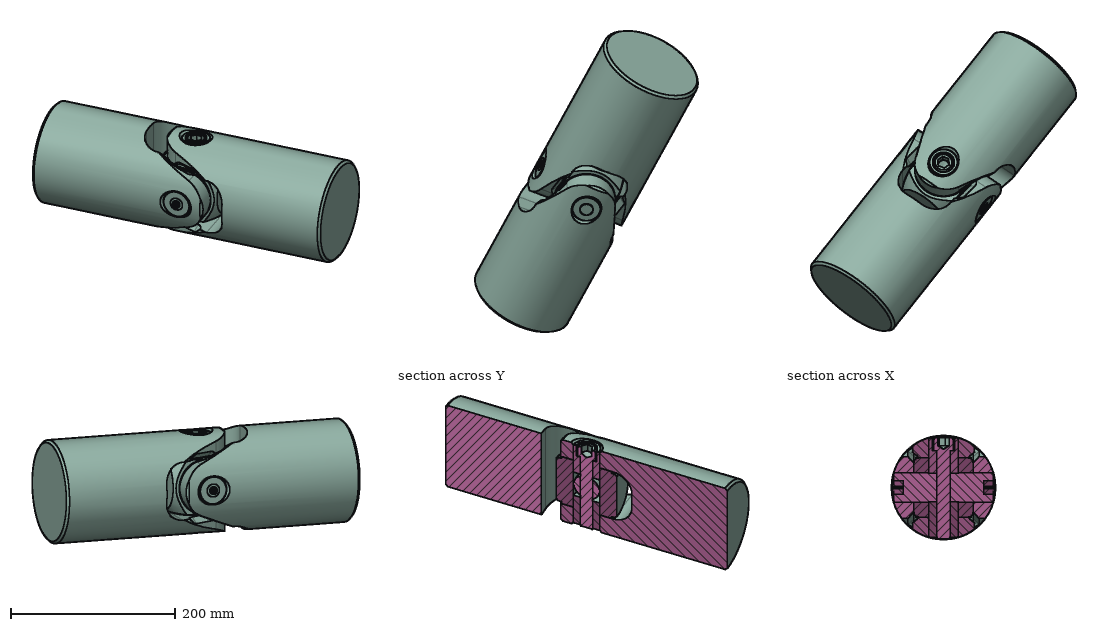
import cadquery as cq
import math

joint_length = 381.0
body_radius = 63.45
end_chamfer = 3.0

tip_radius = 35.0
flank_angle = math.radians(22.5)
slot_half_width = 36.0
slot_depth = 61.0
slot_corner_radius = 25.0
outline_clearance = 4.0
edge_bevel = 7.2
bevel_angle = 45.0
bevel_start = 7.0
bevel_end = 16.0
bevel_offset = 4.5
bevel_overlap = 1.5

pin_radius = 17.5
pin_chamfer = 3.0
pin_half_length = 61.0
pin_end_chamfer = 0.8

block_half_length = 41.0
block_half_width = 34.0
block_end_radius = 31.2

screw_radius = 8.0
head_radius = 12.2
head_height = 16.0
head_chamfer = 2.0
counterbore_radius = 13.5
socket_corners = 6
socket_flats = 13.5
socket_depth = 10.0
socket_point = 4.2
socket_turn = 15.0
screw_end_height = 1.5

fitting_radius = 8.0
fitting_depth = 11.5
nose_radius = 4.5
nose_height = 1.5
mouth_radius = 2.5
mouth_depth = 1.5
grease_radius = 1.0

tangent_x = tip_radius * math.sin(flank_angle)
tangent_z = tip_radius * math.cos(flank_angle)


def flank_height(x):
    """Half height of the arm at position x along a flank."""
    return tangent_z + (tangent_x - x) * math.tan(flank_angle)


def rod(radius, start, end):
    """Cylinder on the Z axis between two heights."""
    return cq.Workplane("XY").workplane(offset=start).circle(radius).extrude(end - start)


def z_to_y(shape):
    """Lay a Z-axis shape down so that its top points to -Y."""
    return shape.rotate((0, 0, 0), (1, 0, 0), 90)


def fork_blank():
    """Round bar from the shaft end to the fork tips, chamfered at both ends."""
    shaft_end = -joint_length / 2
    bar = cq.Workplane("YZ").workplane(offset=shaft_end).circle(body_radius)
    bar = bar.extrude(tip_radius - shaft_end)
    bar = z_to_y(bar)
    return bar.faces("<X or >X").chamfer(end_chamfer)


def arm_outline():
    """Side shape of the fork: full-height shaft, tapered flanks and a round tip."""
    root_z = flank_height(-slot_depth)
    clear_z = body_radius + outline_clearance
    clear_x = -joint_length / 2 - outline_clearance
    outline = (
        cq.Workplane("XZ")
        .moveTo(clear_x, -clear_z)
        .lineTo(-slot_depth, -clear_z)
        .lineTo(-slot_depth, -root_z)
        .lineTo(tangent_x, -tangent_z)
        .threePointArc((tip_radius, 0), (tangent_x, tangent_z))
        .lineTo(-slot_depth, root_z)
        .lineTo(-slot_depth, clear_z)
        .lineTo(clear_x, clear_z)
        .close()
    )
    return outline.extrude(clear_z, both=True)


def arm_slot():
    """Slot between the arms, with rounded corners at its floor."""
    length = slot_depth + tip_radius
    slot = cq.Workplane("XY").box(length, 2 * slot_half_width, 2 * (body_radius + outline_clearance))
    slot = slot.edges("|Z and <X").fillet(slot_corner_radius)
    return slot.translate((tip_radius - length / 2, 0, 0))


def pin_hole():
    """Hole along Y through both arms, countersunk at each outer end."""
    hole = rod(pin_radius, -body_radius, body_radius)
    cone = cq.Solid.makeCone(pin_radius, pin_radius + pin_chamfer, pin_chamfer)
    sink = cq.Workplane(cone)
    sink = sink.translate((0, 0, body_radius - pin_chamfer))
    hole = hole.union(sink).union(sink.mirror("XY"))
    return z_to_y(hole)


def flank_bevel():
    """Cutter for one inner flank edge (+Y arm, +Z flank): a 45 degree wedge with conical ends.

    Its centre line runs outside the flank, so the cut depth reaches zero at the bevel height.
    """
    run = (bevel_start + bevel_end) / math.cos(flank_angle)
    middle_x = (bevel_start - bevel_end) / 2
    base_half_width = edge_bevel + bevel_offset + bevel_overlap
    flank = cq.Plane(
        origin=(middle_x, slot_half_width - bevel_overlap, flank_height(middle_x)),
        xDir=(-math.cos(flank_angle), 0, math.sin(flank_angle)),
        normal=(0, 1, 0),
    )
    return (
        cq.Workplane(flank)
        .center(0, bevel_offset)
        .slot2D(run + 2 * base_half_width, 2 * base_half_width)
        .extrude(edge_bevel + 2 * bevel_overlap, taper=bevel_angle)
    )


def fork():
    """Fork with its shaft towards -X and its arms at +Y and -Y."""
    body = fork_blank().intersect(arm_outline()).cut(arm_slot()).cut(pin_hole())
    bevel = flank_bevel()
    for cutter in (bevel, bevel.mirror("XY")):
        body = body.cut(cutter).cut(cutter.mirror("XZ"))
    return body


def centre_block():
    """Square block with coned ends, a round boss towards each arm and two crossing holes."""
    width = 2 * block_half_width
    block = cq.Workplane("XY").box(2 * block_half_length, width, width)
    cone_radius = block_end_radius + block_half_length
    cones = (
        cq.Workplane("XY")
        .polyline([
            (-block_half_length, 0),
            (-block_half_length, block_end_radius),
            (0, cone_radius),
            (block_half_length, block_end_radius),
            (block_half_length, 0),
        ])
        .close()
        .revolve(360, (0, 0, 0), (1, 0, 0))
    )
    block = block.intersect(cones)
    bosses = rod(block_half_width, -slot_half_width, slot_half_width)
    bosses = bosses.intersect(cq.Workplane("XY").box(width, width, 2 * slot_half_width))
    hole = rod(pin_radius, -slot_half_width, slot_half_width)
    block = block.union(bosses).union(z_to_y(bosses))
    return block.cut(hole).cut(z_to_y(hole))


def fitting():
    """Grease fitting on the Z axis, seated in the upper end of a pin."""
    nose_top = pin_half_length + nose_height
    seat = pin_half_length - fitting_depth
    body = rod(fitting_radius, seat, pin_half_length)
    body = body.union(rod(nose_radius, pin_half_length, nose_top))
    mouth = cq.Solid.makeCone(
        grease_radius, mouth_radius, mouth_depth, pnt=cq.Vector(0, 0, nose_top - mouth_depth)
    )
    return body.cut(rod(grease_radius, seat, nose_top)).cut(cq.Workplane(mouth))


def long_pin():
    """Pin through both arms along Y, cross drilled for the screw, with a fitting seat at each end."""
    pin = rod(pin_radius, -pin_half_length, pin_half_length)
    pin = pin.faces("<Z or >Z").chamfer(pin_end_chamfer)
    seat = rod(fitting_radius, pin_half_length - fitting_depth, pin_half_length)
    pin = z_to_y(pin.cut(seat).cut(seat.mirror("XY")))
    return pin.cut(rod(screw_radius, -pin_radius, pin_radius))


def short_pin():
    """Upper pin from the long pin out to the arm, bored for the screw."""
    pin = rod(pin_radius, pin_radius, pin_half_length)
    pin = pin.faces(">Z").chamfer(pin_end_chamfer)
    return pin.cut(rod(screw_radius, pin_radius, pin_half_length))


def screw():
    """Socket head screw down the Z axis, holding both short pins."""
    head = rod(head_radius, pin_half_length - head_height, pin_half_length)
    head = head.faces(">Z").edges().chamfer(head_chamfer)
    socket = (
        cq.Workplane("XY")
        .workplane(offset=pin_half_length - socket_depth)
        .polygon(socket_corners, socket_flats, circumscribed=True)
        .extrude(socket_depth)
        .rotate((0, 0, 0), (0, 0, 1), socket_turn)
    )
    shank = rod(screw_radius, -pin_half_length - screw_end_height, pin_half_length - head_height)
    point = cq.Solid.makeCone(
        socket_flats / 2,
        0,
        socket_point,
        pnt=cq.Vector(0, 0, pin_half_length - socket_depth),
        dir=cq.Vector(0, 0, -1),
    )
    return head.cut(socket).union(shank).cut(cq.Workplane(point))


left_fork = fork()
right_fork = left_fork.rotate((0, 0, 0), (0, 0, 1), 180).rotate((0, 0, 0), (1, 0, 0), 90)
block = centre_block()
cross_pin = long_pin()
lower_pin = short_pin().mirror("XY")
counterbore = rod(counterbore_radius, pin_half_length - head_height, pin_half_length)
upper_pin = short_pin().cut(counterbore)
clamp_screw = screw()
front_fitting = z_to_y(fitting())
fittings = [front_fitting, front_fitting.mirror("XZ")]

result = cq.Compound.makeCompound([
    left_fork.val(),
    right_fork.val(),
    block.val(),
    cross_pin.val(),
    upper_pin.val(),
    lower_pin.val(),
    clamp_screw.val(),
    *[part.val() for part in fittings],
])